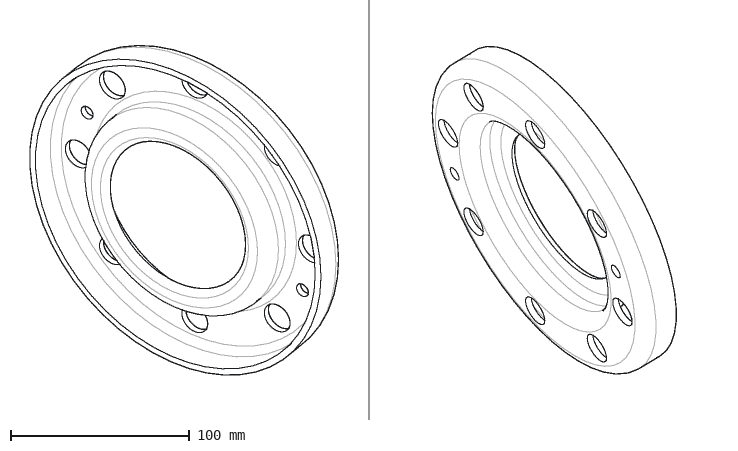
import cadquery as cq
import math

outer_radius = 100.0
total_depth = 23.5
rim_depth = 22.8
sheet = 4.0
inside_bend = 4.5
outside_bend = inside_bend + sheet
hub_radius = 65.5
bore_radius = 46.8
bore_round = 4.0

hole_circle_radius = 80.0
bolt_hole_diameter = 17.5
bolt_hole_count = 8
pin_hole_diameter = 8.0
pin_hole_angles = (157.5, 337.5)

back = total_depth / 2
flange_front = back - sheet
rim_front = back - rim_depth
hub_front = -total_depth / 2
hub_inside = hub_front + sheet
rim_inner_radius = outer_radius - sheet
hub_inner_radius = hub_radius - sheet
diagonal = math.sqrt(0.5)


def bend_middle(center, radius, x_sign, y_sign):
    """Middle point of a quarter bend, in the direction given by the signs."""
    offset = radius * diagonal
    return (center[0] + x_sign * offset, center[1] + y_sign * offset)


def make_shell():
    rim_center = (outer_radius - outside_bend, back - outside_bend)
    root_center = (hub_radius + inside_bend, flange_front - inside_bend)
    nose_center = (hub_radius - outside_bend, hub_front + outside_bend)
    lip_center = (bore_radius + bore_round, hub_front + bore_round)
    profile = (
        cq.Workplane("XY")
        .moveTo(bore_radius, lip_center[1])
        .threePointArc(bend_middle(lip_center, bore_round, -1, -1), (lip_center[0], hub_front))
        .lineTo(nose_center[0], hub_front)
        .threePointArc(bend_middle(nose_center, outside_bend, 1, -1), (hub_radius, nose_center[1]))
        .lineTo(hub_radius, root_center[1])
        .threePointArc(bend_middle(root_center, inside_bend, -1, 1), (root_center[0], flange_front))
        .lineTo(rim_center[0], flange_front)
        .threePointArc(bend_middle(rim_center, inside_bend, 1, 1), (rim_inner_radius, rim_center[1]))
        .lineTo(rim_inner_radius, rim_front)
        .lineTo(outer_radius, rim_front)
        .lineTo(outer_radius, rim_center[1])
        .threePointArc(bend_middle(rim_center, outside_bend, 1, 1), (rim_center[0], back))
        .lineTo(root_center[0], back)
        .threePointArc(bend_middle(root_center, outside_bend, -1, 1), (hub_inner_radius, root_center[1]))
        .lineTo(hub_inner_radius, nose_center[1])
        .threePointArc(bend_middle(nose_center, inside_bend, 1, -1), (nose_center[0], hub_inside))
        .lineTo(bore_radius, hub_inside)
        .close()
    )
    return profile.revolve(360, (0, 0, 0), (0, 1, 0))


def make_holes(diameter, angles):
    """Cylinders through the flange, placed on the hole circle."""
    centers = [
        (
            hole_circle_radius * math.cos(math.radians(angle)),
            hole_circle_radius * math.sin(math.radians(angle)),
        )
        for angle in angles
    ]
    plane = cq.Workplane("XZ")
    return plane.pushPoints(centers).circle(diameter / 2).extrude(total_depth, both=True)


bolt_hole_angles = [index * 360 / bolt_hole_count for index in range(bolt_hole_count)]
result = (
    make_shell()
    .cut(make_holes(bolt_hole_diameter, bolt_hole_angles))
    .cut(make_holes(pin_hole_diameter, pin_hole_angles))
)